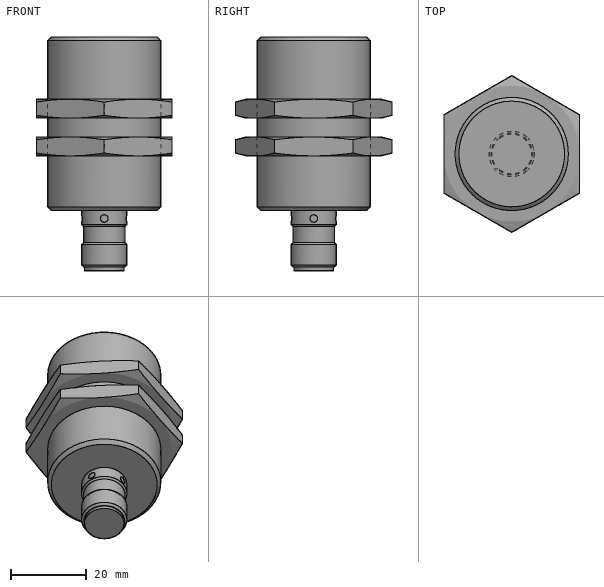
import cadquery as cq
import math

total_length = 62.0
barrel_diameter = 30.0
barrel_bottom_z = 16.0
face_chamfer = 1.0

tip_diameter = 10.5
tip_height = 1.0
plug_diameter = 12.0
plug_chamfer = 0.6
plug_top_z = 7.0
neck_diameter = 11.0
neck_bevel = (plug_diameter - neck_diameter) / 2
neck_top_z = 11.8

window_diameter = 2.0
window_z = 13.9
window_depth = 0.1
window_count = 4

nut_width = 36.0
nut_height = 5.0
nut_bottoms_z = [30.5, 40.5]
nut_chamfer_angle = 15.0
nut_sides = 6


def make_housing():
    barrel_radius = barrel_diameter / 2
    tip_radius = tip_diameter / 2
    plug_radius = plug_diameter / 2
    neck_radius = neck_diameter / 2
    half_section = [
        (0, 0),
        (tip_radius, 0),
        (tip_radius, tip_height),
        (plug_radius - plug_chamfer, tip_height),
        (plug_radius, tip_height + plug_chamfer),
        (plug_radius, plug_top_z),
        (neck_radius, plug_top_z + neck_bevel),
        (neck_radius, neck_top_z),
        (plug_radius, neck_top_z + neck_bevel),
        (plug_radius, barrel_bottom_z),
        (barrel_radius - face_chamfer, barrel_bottom_z),
        (barrel_radius, barrel_bottom_z + face_chamfer),
        (barrel_radius, total_length - face_chamfer),
        (barrel_radius - face_chamfer, total_length),
        (0, total_length),
    ]
    body = cq.Workplane("XZ").polyline(half_section).close().revolve(360, (0, 0), (0, 1))
    return body.cut(make_windows())


def make_windows():
    """Shallow round pockets on the X and Y sides, their floors concentric with the collar."""
    plug_radius = plug_diameter / 2
    drill = cq.Workplane("YZ").center(0, window_z).circle(window_diameter / 2).extrude(plug_radius + window_depth)
    floor_core = cq.Workplane("XY").circle(plug_radius - window_depth).extrude(barrel_bottom_z)
    pocket = drill.cut(floor_core)
    pockets = cq.Workplane("XY")
    for index in range(window_count):
        angle = index * 360 / window_count
        pockets = pockets.add(pocket.rotate((0, 0, 0), (0, 0, 1), angle))
    return pockets.combine()


def make_nut(bottom_z):
    """Hexagonal nut with corners on the Y axis, its corners bevelled on both faces."""
    half_side_angle = 180 / nut_sides
    flat_radius = nut_width / 2
    corner_radius = flat_radius / math.cos(math.radians(half_side_angle))
    bevel_drop = (corner_radius - flat_radius) * math.tan(math.radians(nut_chamfer_angle))
    hexagon = (
        cq.Workplane("XY")
        .polygon(nut_sides, 2 * corner_radius)
        .extrude(nut_height)
        .rotate((0, 0, 0), (0, 0, 1), half_side_angle)
    )
    bevel_section = [
        (0, 0),
        (flat_radius, 0),
        (corner_radius, bevel_drop),
        (corner_radius, nut_height - bevel_drop),
        (flat_radius, nut_height),
        (0, nut_height),
    ]
    bevel_envelope = cq.Workplane("XZ").polyline(bevel_section).close().revolve(360, (0, 0), (0, 1))
    bore = cq.Workplane("XY").circle(barrel_diameter / 2).extrude(nut_height)
    return hexagon.intersect(bevel_envelope).cut(bore).translate((0, 0, bottom_z))


housing = make_housing()
nuts = [make_nut(bottom_z) for bottom_z in nut_bottoms_z]

result = cq.Compound.makeCompound([housing.val(), *[nut.val() for nut in nuts]])